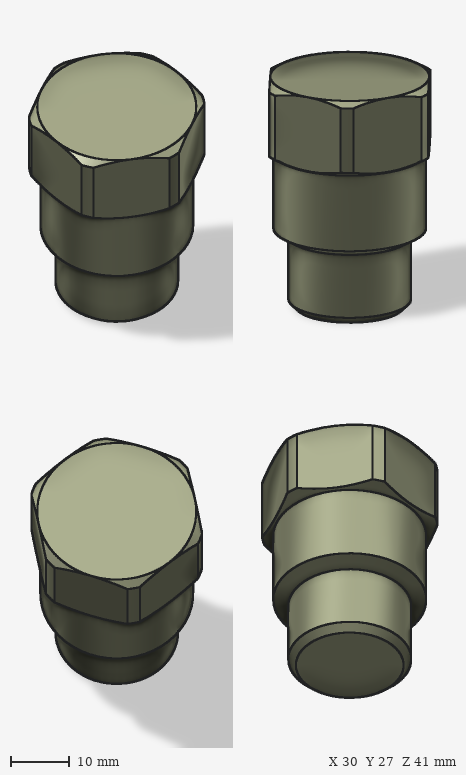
import cadquery as cq
import math

across_flats = 27.0
corner_diameter = 30.0
head_height = 13.5
head_cone_angle = 30.0

collar_diameter = 26.0
spigot_diameter = 20.9
taper_angle = 30.0
tip_chamfer = 1.3

total_height = 41.0
head_bottom = total_height - head_height
collar_bottom = 14.0

head_radius = corner_diameter / 2
flat_radius = across_flats / 2
collar_radius = collar_diameter / 2
spigot_radius = spigot_diameter / 2
spigot_top = collar_bottom - (collar_radius - spigot_radius) * math.tan(math.radians(taper_angle))


def revolve_about_z(profile):
    """Revolve a closed (radius, height) profile about the Z axis."""
    return cq.Workplane("XZ").polyline(profile).close().revolve(360, (0, 0, 0), (0, 1, 0))


def make_head():
    """Hexagon with corners along X, turned and coned at both ends."""
    slope = math.tan(math.radians(head_cone_angle))
    top_cone_height = (head_radius - flat_radius) * slope
    bottom_cone_height = (head_radius - collar_radius) * slope
    across_corners = across_flats / math.cos(math.pi / 6)
    hexagon = (
        cq.Workplane("XY")
        .workplane(offset=head_bottom)
        .polygon(6, across_corners)
        .extrude(head_height)
    )
    turned_envelope = revolve_about_z([
        (0, head_bottom),
        (collar_radius, head_bottom),
        (head_radius, head_bottom + bottom_cone_height),
        (head_radius, total_height - top_cone_height),
        (flat_radius, total_height),
        (0, total_height),
    ])
    return hexagon.intersect(turned_envelope)


def make_shank():
    """Collar tapering down to a spigot with a chamfered tip."""
    return revolve_about_z([
        (0, 0),
        (spigot_radius - tip_chamfer, 0),
        (spigot_radius, tip_chamfer),
        (spigot_radius, spigot_top),
        (collar_radius, collar_bottom),
        (collar_radius, head_bottom),
        (0, head_bottom),
    ])


result = make_head().union(make_shank())